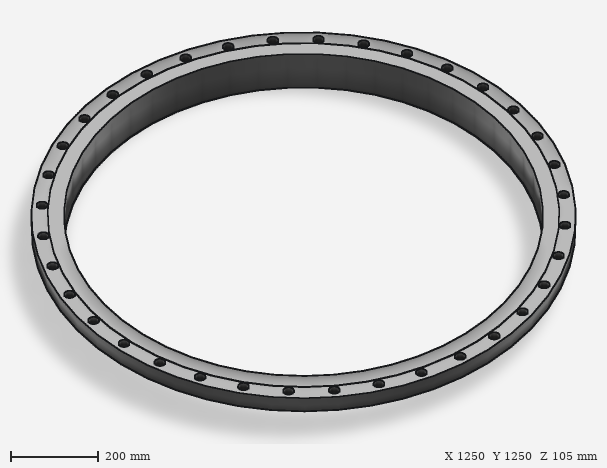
import cadquery as cq

outer_radius = 625.0
bore_radius = 550.0
total_height = 105.0
flange_thickness = 41.0

face_radius = 588.0
face_rise = 1.0

flare_radius = 573.0
flare_height = 8.0
hub_top_radius = 568.0
hub_base_radius = 562.0
bevel_height = 9.0
hub_end_radius = 552.0

hole_count = 36
hole_diameter = 25.0
bolt_circle_radius = 602.0

band_level = total_height - face_rise
flange_underside = band_level - flange_thickness


def ring_body():
    """Revolve the half section, given as (radius, height), about Z."""
    section = [
        (bore_radius, 0),
        (hub_end_radius, 0),
        (hub_base_radius, bevel_height),
        (hub_top_radius, flange_underside - flare_height),
        (flare_radius, flange_underside),
        (outer_radius, flange_underside),
        (outer_radius, band_level),
        (face_radius, band_level),
        (face_radius, total_height),
        (bore_radius, total_height),
    ]
    return cq.Workplane("XZ").polyline(section).close().revolve(360, (0, 0, 0), (0, 1, 0))


def bolt_holes():
    """Cylinders through the flange, evenly spaced on the bolt circle."""
    return (
        cq.Workplane("XY")
        .workplane(offset=flange_underside)
        .polarArray(bolt_circle_radius, 0, 360, hole_count)
        .circle(hole_diameter / 2)
        .extrude(flange_thickness)
    )


result = ring_body().cut(bolt_holes())